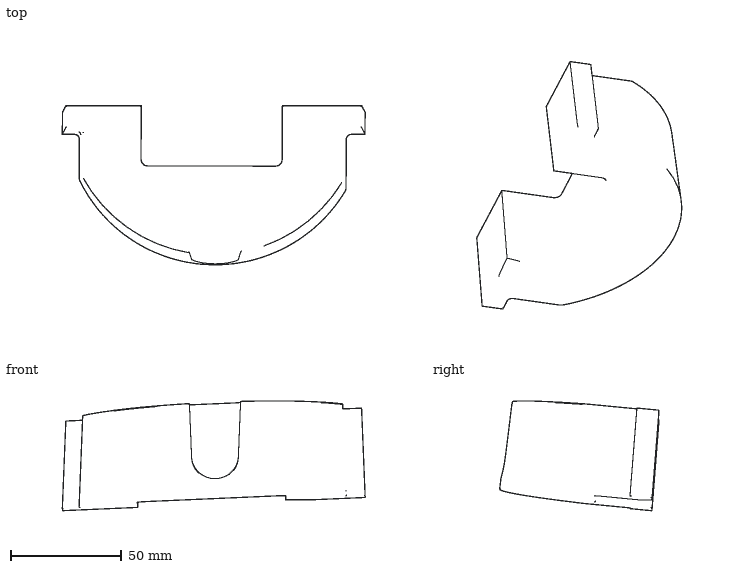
import cadquery as cq
import math

LEAN = 4.5
YAW = -0.2
DRAFT = 2.3
NOSE_DRAFT = 1.3
NOSE_TILT = 1.0
POCKET_LEAN = 6.4
ROLL = 2.5
PITCH = 5.5

EAR_CENTER = 0.1
EAR_HALF_WIDTH = 68.0
EAR_BACK = -1.5
EAR_FRONT = -11.6
BODY_CENTER = -0.3
BODY_HALF_WIDTH = 59.9
SLOT_CENTER = -0.8
SLOT_HALF_WIDTH = 32.8
SLOT_FRONT = -28.2
NOSE_X = 0.5
NOSE_Y = -2.0
NOSE_RADIUS = 68.3

TOP_HEIGHT = 19.4
BOTTOM_HEIGHT = -20.8
LOFT_REACH = 38.6

POCKET_X = 0.5
POCKET_FLOOR = -63.1
POCKET_HALF_WIDTH = 10.6
POCKET_ARC_HEIGHT = -7.2
POCKET_ARC_DROP = 9.6
POCKET_RISE = 41.3
POCKET_REACH = 27.5
POCKET_FLOOR_RADIUS = 2.6

FLAT_HEIGHT = -18.5

EAR_CORNER_RADIUS = 2.2
SLOT_CORNER_RADIUS = 2.9
NOSE_EDGE_RADIUS = 3.5
RIM_RADIUS = 0.4

TRIM_SIZE = 275.5

ORIGIN = (0, 0, 0)
X_AXIS = (1, 0, 0)
Z_AXIS = (0, 0, 1)


def tangent(degrees):
    return math.tan(math.radians(degrees))


def outline(level):
    """Closed plan outline of the block at a height along its own axis."""
    inset = level * tangent(DRAFT)
    ear = EAR_HALF_WIDTH - inset
    body = BODY_HALF_WIDTH - inset
    slot = SLOT_HALF_WIDTH - inset
    slot_front = SLOT_FRONT - inset
    left = BODY_CENTER - body
    right = BODY_CENTER + body

    nose_radius = NOSE_RADIUS - level * tangent(NOSE_DRAFT)
    nose_x = NOSE_X - level * tangent(NOSE_TILT)
    nose_y = NOSE_Y + level * tangent(NOSE_TILT)

    def nose_front(x):
        return nose_y - math.sqrt(nose_radius**2 - (x - nose_x) ** 2)

    return (
        cq.Workplane("XY", origin=(0, 0, level))
        .moveTo(EAR_CENTER - ear, EAR_BACK)
        .lineTo(EAR_CENTER - ear, EAR_FRONT)
        .lineTo(left, EAR_FRONT)
        .lineTo(left, nose_front(left))
        .threePointArc((nose_x, nose_y - nose_radius), (right, nose_front(right)))
        .lineTo(right, EAR_FRONT)
        .lineTo(EAR_CENTER + ear, EAR_FRONT)
        .lineTo(EAR_CENTER + ear, EAR_BACK)
        .lineTo(SLOT_CENTER + slot, EAR_BACK)
        .lineTo(SLOT_CENTER + slot, slot_front)
        .lineTo(SLOT_CENTER - slot, slot_front)
        .lineTo(SLOT_CENTER - slot, EAR_BACK)
        .close()
        .wire()
        .val()
    )


def round_corner_pair(block, center, half_width, y, radius):
    """Round the left and right upright edges that cross mid height at the given place."""
    for side in (-1, 1):
        corner = (center + side * half_width, y, 0)
        block = block.edges(cq.selectors.NearestToPointSelector(corner)).fillet(radius)
    return block


def drafted_block():
    """Ears, body, slot and nose with drafted walls, leaning back as a whole."""
    ends = [outline(-LOFT_REACH), outline(LOFT_REACH)]
    block = cq.Workplane(cq.Solid.makeLoft(ends, True))
    nose_edge_y = NOSE_Y - math.sqrt(NOSE_RADIUS**2 - BODY_HALF_WIDTH**2)
    block = round_corner_pair(block, BODY_CENTER, BODY_HALF_WIDTH, EAR_FRONT, EAR_CORNER_RADIUS)
    block = round_corner_pair(block, SLOT_CENTER, SLOT_HALF_WIDTH, SLOT_FRONT, SLOT_CORNER_RADIUS)
    block = round_corner_pair(block, BODY_CENTER, BODY_HALF_WIDTH, nose_edge_y, NOSE_EDGE_RADIUS)
    return block.rotate(ORIGIN, Z_AXIS, YAW).rotate(ORIGIN, X_AXIS, -LEAN)


def sloping_slab():
    """Wide slab between the parallel top and bottom faces."""
    slope_x = tangent(ROLL)
    slope_y = tangent(PITCH)
    normal = (-slope_x, slope_y, 1)
    plane = cq.Plane((0, 0, BOTTOM_HEIGHT), (1, 0, slope_x), normal)
    thickness = (TOP_HEIGHT - BOTTOM_HEIGHT) / cq.Vector(*normal).Length
    return cq.Workplane(plane).rect(TRIM_SIZE, TRIM_SIZE).extrude(thickness)


def pocket():
    """U-shaped cutter, rounded along the edge of its floor."""
    top_half_width = POCKET_HALF_WIDTH + POCKET_RISE * tangent(DRAFT)
    cutter = (
        cq.Workplane("XZ", origin=(POCKET_X, POCKET_FLOOR, POCKET_ARC_HEIGHT))
        .moveTo(-top_half_width, POCKET_RISE)
        .lineTo(-POCKET_HALF_WIDTH, 0)
        .threePointArc((0, -POCKET_ARC_DROP), (POCKET_HALF_WIDTH, 0))
        .lineTo(top_half_width, POCKET_RISE)
        .close()
        .extrude(POCKET_REACH)
        .faces(">Y")
        .edges()
        .fillet(POCKET_FLOOR_RADIUS)
    )
    return cutter.rotate(ORIGIN, X_AXIS, -POCKET_LEAN)


def arm_flat():
    """Everything below the level flat on the +X side."""
    return (
        cq.Workplane("XY", origin=(TRIM_SIZE / 2, 0, FLAT_HEIGHT))
        .rect(TRIM_SIZE, TRIM_SIZE)
        .extrude(-TRIM_SIZE)
    )


result = drafted_block().intersect(sloping_slab()).cut(pocket())
for end_face in (">Z", "<Z"):
    result = result.faces(end_face).edges().fillet(RIM_RADIUS)
result = result.cut(arm_flat())